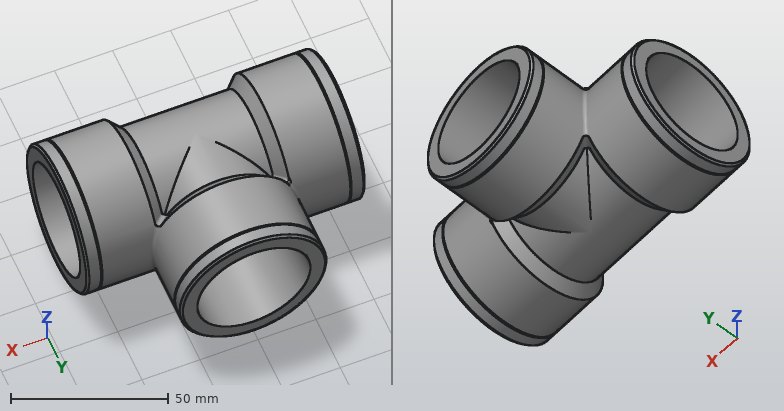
import cadquery as cq

run_length = 96.0
sleeve_diameter = 50.6
pipe_diameter = 42.7
sleeve_length = 25.0
mouth_bore_diameter = 39.0
pipe_bore_diameter = 35.0
rim_chamfer = 0.8
groove_width = 0.5
groove_depth = 0.2
groove_offset = 4.8
crotch_radius = 1.1

arm_length = run_length / 2
sleeve_start = arm_length - sleeve_length
rim_start = arm_length - rim_chamfer
groove_end = arm_length - groove_offset
groove_start = groove_end - groove_width
groove_middle = (groove_start + groove_end) / 2

sleeve_radius = sleeve_diameter / 2
pipe_radius = pipe_diameter / 2
groove_radius = sleeve_radius - groove_depth
mouth_bore_radius = mouth_bore_diameter / 2
pipe_bore_radius = pipe_bore_diameter / 2
shoulder_start = sleeve_start - (sleeve_radius - pipe_radius)
bore_cone_start = sleeve_start - (mouth_bore_radius - pipe_bore_radius)

CENTRE = (0, 0, 0)
Y_AXIS = (0, 1, 0)
Z_AXIS = (0, 0, 1)


def revolve_about_y(profile):
    """Turn a closed (radius, position) outline around the Y axis."""
    return cq.Workplane("XY").polyline(profile).close().revolve(360, CENTRE, Y_AXIS)


def outer_arm():
    """Solid arm along +Y: pipe, conical shoulder, and sleeve with a V groove near its rim."""
    return revolve_about_y([
        (0, 0),
        (pipe_radius, 0),
        (pipe_radius, shoulder_start),
        (sleeve_radius, sleeve_start),
        (sleeve_radius, groove_start),
        (groove_radius, groove_middle),
        (sleeve_radius, groove_end),
        (sleeve_radius, rim_start),
        (sleeve_radius - rim_chamfer, arm_length),
        (0, arm_length),
    ])


def bore_arm():
    """Passage along +Y: pipe bore, short cone, and wider socket up to the mouth."""
    return revolve_about_y([
        (0, 0),
        (pipe_bore_radius, 0),
        (pipe_bore_radius, bore_cone_start),
        (mouth_bore_radius, sleeve_start),
        (mouth_bore_radius, arm_length),
        (0, arm_length),
    ])


def join_as_tee(arm):
    """Join the branch arm on +Y with its copies turned to +X and -X."""
    body = arm
    for angle in (-90, 90):
        body = body.union(arm.rotate(CENTRE, Z_AXIS, angle))
    return body


def crotch_edges(body):
    """Edges where the branch shoulder and sleeve meet those of the run.

    They lie in the two planes |x| = y, further out than the start of the shoulders.
    """
    tolerance = 0.01

    def in_crotch(edge):
        points = (edge.startPoint(), edge.positionAt(0.5), edge.endPoint())
        return all(
            abs(abs(p.x) - p.y) < tolerance and p.y > shoulder_start - tolerance
            for p in points
        )

    return body.edges().filter(in_crotch)


outer_body = crotch_edges(join_as_tee(outer_arm())).fillet(crotch_radius)
result = outer_body.cut(join_as_tee(bore_arm()))